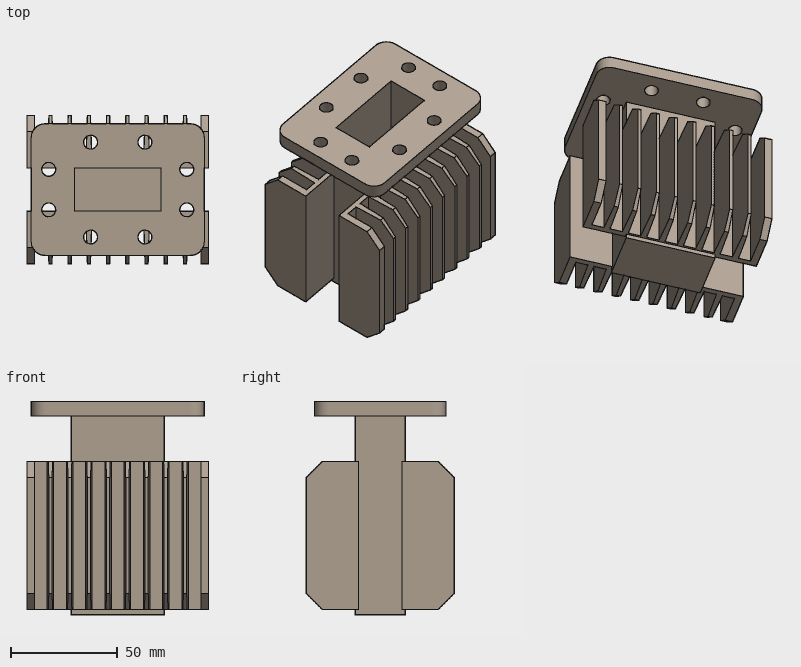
import cadquery as cq


total_height = 100.0
sink_width = 85.0
overall_depth = 69.4

bore_width = 40.4
bore_depth = 20.2
tube_wall = 1.6
tube_width = bore_width + 2 * tube_wall
tube_depth = bore_depth + 2 * tube_wall
floor_thickness = tube_wall

flange_width = 81.0
flange_depth = 61.7
flange_thickness = 7.0
flange_corner_radius = 6.5
bolt_diameter = 6.4
long_side_bolts = (12.7, 22.2)
short_side_bolts = (32.3, 9.5)

sink_height = 69.4
sink_bottom = 2.5
sink_back = bore_depth / 2
sink_front = overall_depth / 2
sink_chamfer = 7.6
base_thickness = 2.5
fin_root = sink_back + base_thickness

fin_count = 8
fin_pitch = 9.0
fin_tip_width = 1.5
fin_root_width = 3.0
end_fin_width = 3.6


def sink_block():
    """Solid envelope of the +Y heat sink, chamfered along its outer top and bottom edges."""
    depth = sink_front - sink_back
    return (
        cq.Workplane("XY", origin=(0, sink_back, sink_bottom))
        .box(sink_width, depth, sink_height, centered=(True, False, False))
        .faces(">Y")
        .edges("|X")
        .chamfer(sink_chamfer)
    )


def gap(left_root, right_root, left_tip, right_tip):
    """Vertical channel between two neighbouring fins, from the base to the fin tips."""
    return (
        cq.Workplane("XY", origin=(0, 0, sink_bottom))
        .polyline([
            (left_root, fin_root),
            (right_root, fin_root),
            (right_tip, sink_front),
            (left_tip, sink_front),
        ])
        .close()
        .extrude(sink_height)
    )


def heat_sink():
    """The +Y heat sink, with one gap cut between each pair of neighbouring fins."""
    thin_fins = [(i - (fin_count - 1) / 2) * fin_pitch for i in range(fin_count)]
    end_inner = sink_width / 2 - end_fin_width

    left_roots = [-end_inner] + [x + fin_root_width / 2 for x in thin_fins]
    left_tips = [-end_inner] + [x + fin_tip_width / 2 for x in thin_fins]
    right_roots = [x - fin_root_width / 2 for x in thin_fins] + [end_inner]
    right_tips = [x - fin_tip_width / 2 for x in thin_fins] + [end_inner]

    sink = sink_block()
    for sides in zip(left_roots, right_roots, left_tips, right_tips):
        sink = sink.cut(gap(*sides))
    return sink


def flange():
    """Rounded plate at the open end, drilled with two bolt holes along each side."""
    bolts = [
        (sx * x, sy * y)
        for x, y in (long_side_bolts, short_side_bolts)
        for sx in (-1, 1)
        for sy in (-1, 1)
    ]
    plate = (
        cq.Workplane("XY", origin=(0, 0, total_height - flange_thickness))
        .rect(flange_width, flange_depth)
        .extrude(flange_thickness)
        .edges("|Z")
        .fillet(flange_corner_radius)
    )
    return plate.faces(">Z").workplane().pushPoints(bolts).hole(bolt_diameter)


tube = cq.Workplane("XY").rect(tube_width, tube_depth).extrude(total_height)
bore = (
    cq.Workplane("XY", origin=(0, 0, floor_thickness))
    .rect(bore_width, bore_depth)
    .extrude(total_height - floor_thickness)
)
back_sink = heat_sink()
front_sink = back_sink.mirror("XZ")

result = tube.union(flange()).union(back_sink).union(front_sink).cut(bore)